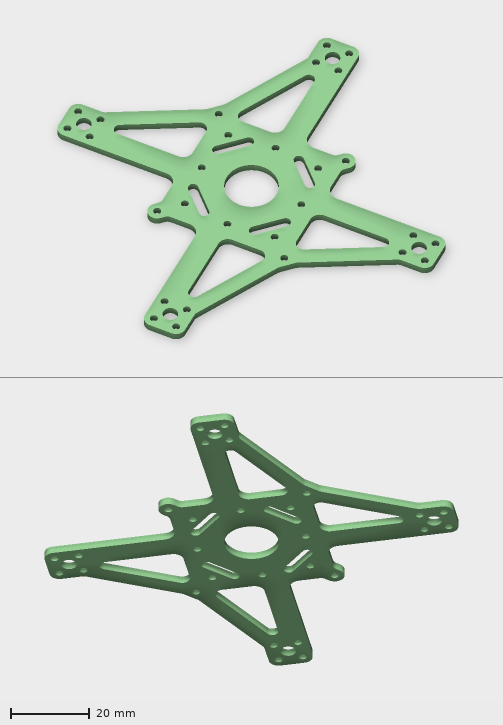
import cadquery as cq
import math

overall_size = 81.2
thickness = 2.0

motor_offset = 33.6
motor_bore_dia = 4.0
motor_screw_offset = 4.5
screw_dia = 2.0
pad_half_diagonal = 8.0
pad_corner_x = motor_offset + pad_half_diagonal
pad_corner_radius = (pad_corner_x - overall_size / 2) / (math.sqrt(2) - 1)

body_half_diagonal = 26.0
notch_radius = 3.0

ear_centre = 25.5
ear_radius = 2.5
ear_root_radius = 2.0

side_x = 28.0
side_half_height = 2.4
side_corner_radius = 2.0
brace_end_y = 27.6
brace_end_x = brace_end_y + pad_half_diagonal
brace_width_x = 4.55
brace_end_radius = 2.0

window_arm_shift = 1.1
window_inner_radius = 2.7
window_lower_radius = 2.0
window_tip_radius = 1.55

bore_dia = 14.0
slot_offset = 14.3
slot_length = 11.2
slot_width = 2.7
inner_screw_offset = 18.0
diagonal_screw_offset = 10.0

QUADRANTS = [(1, 1), (-1, 1), (-1, -1), (1, -1)]
AXIS_DIRECTIONS = [(1, 0), (0, 1), (-1, 0), (0, -1)]


def prism(points):
    return cq.Workplane("XY").polyline(points).close().extrude(thickness)


def round_edges(solid, corners, radius):
    """Fillet the vertical edges that stand on the given corner points."""
    for x, y in corners:
        nearest = cq.selectors.NearestToPointSelector((x, y, thickness / 2))
        solid = solid.edges("|Z").edges(nearest).fillet(radius)
    return solid


def in_all_quadrants(x, y):
    return [(sx * x, sy * y) for sx, sy in QUADRANTS]


def along_axes(distance):
    return [(dx * distance, dy * distance) for dx, dy in AXIS_DIRECTIONS]


def make_outline():
    notch_x = (body_half_diagonal - pad_half_diagonal) / 2
    notch_y = notch_x + pad_half_diagonal
    ear_root_y = body_half_diagonal - ear_radius
    quarter = [
        (side_x, side_half_height),
        (brace_end_x, brace_end_y),
        (pad_corner_x, motor_offset),
        (motor_offset, pad_corner_x),
        (notch_x, notch_y),
        (ear_radius, ear_root_y),
    ]
    upper_left = [(-x, y) for x, y in reversed(quarter)]
    upper = quarter + upper_left
    lower = [(-x, -y) for x, y in upper]
    plate = prism(upper + lower)
    ears = (
        cq.Workplane("XY")
        .pushPoints([(0, ear_centre), (0, -ear_centre)])
        .circle(ear_radius)
        .extrude(thickness)
    )
    ear_stems = cq.Workplane("XY").rect(2 * ear_radius, 2 * ear_centre).extrude(thickness)
    plate = plate.union(ear_stems).union(ears)

    pad_corners = in_all_quadrants(pad_corner_x, motor_offset)
    pad_corners += in_all_quadrants(motor_offset, pad_corner_x)
    plate = round_edges(plate, pad_corners, pad_corner_radius)
    plate = round_edges(plate, in_all_quadrants(notch_x, notch_y), notch_radius)
    plate = round_edges(plate, in_all_quadrants(ear_radius, ear_root_y), ear_root_radius)
    plate = round_edges(plate, in_all_quadrants(side_x, side_half_height), side_corner_radius)
    return round_edges(plate, in_all_quadrants(brace_end_x, brace_end_y), brace_end_radius)


def make_window():
    """Window in the +X +Y quadrant."""
    slope = (brace_end_x - side_x) / (brace_end_y - side_half_height)
    brace_x_at_axis = side_x - slope * side_half_height - brace_width_x
    inner_y = (body_half_diagonal - window_arm_shift) / 2
    tip_y = (brace_x_at_axis - window_arm_shift) / (1 - slope)
    lower_y = (body_half_diagonal - brace_x_at_axis) / (1 + slope)
    inner = (inner_y + window_arm_shift, inner_y)
    tip = (tip_y + window_arm_shift, tip_y)
    lower = (body_half_diagonal - lower_y, lower_y)
    window = round_edges(prism([inner, tip, lower]), [inner], window_inner_radius)
    window = round_edges(window, [lower], window_lower_radius)
    return round_edges(window, [tip], window_tip_radius)


def cut_windows(plate):
    right_upper = make_window()
    right_lower = right_upper.mirror("XZ")
    for window in (right_upper, right_lower):
        plate = plate.cut(window).cut(window.mirror("YZ"))
    return plate


def cut_holes(plate, centres, diameter):
    holes = cq.Workplane("XY").pushPoints(centres).circle(diameter / 2).extrude(thickness)
    return plate.cut(holes)


def cut_slots(plate):
    for dx, dy in AXIS_DIRECTIONS:
        slot_angle = 90 if dx else 0
        slot = (
            cq.Workplane("XY")
            .center(dx * slot_offset, dy * slot_offset)
            .slot2D(slot_length, slot_width, slot_angle)
            .extrude(thickness)
        )
        plate = plate.cut(slot)
    return plate


motor_centres = in_all_quadrants(motor_offset, motor_offset)
motor_screws = [
    (mx + dx, my + dy) for mx, my in motor_centres for dx, dy in along_axes(motor_screw_offset)
]
body_screws = (
    along_axes(inner_screw_offset)
    + along_axes(ear_centre)
    + in_all_quadrants(diagonal_screw_offset, diagonal_screw_offset)
)

result = cut_windows(make_outline())
result = cut_slots(result)
result = cut_holes(result, [(0, 0)], bore_dia)
result = cut_holes(result, motor_centres, motor_bore_dia)
result = cut_holes(result, motor_screws + body_screws, screw_dia)